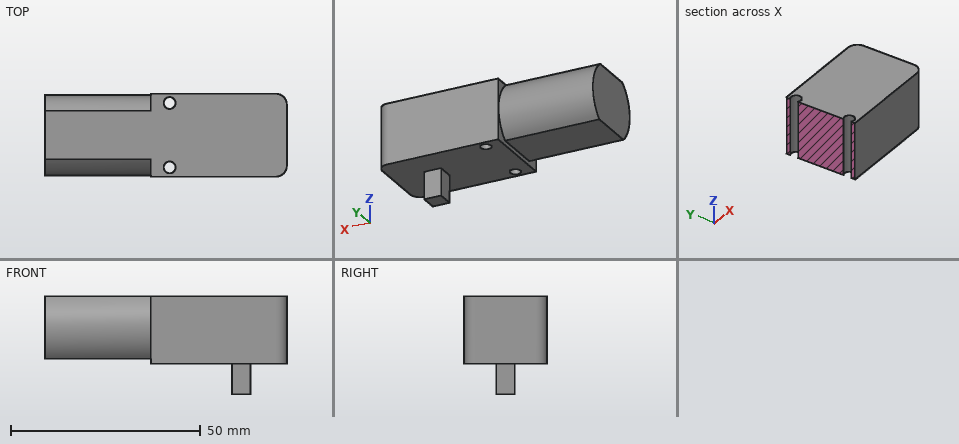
import cadquery as cq

total_length = 64.0
motor_length = 28.0

housing_length = total_length - motor_length
housing_width = 22.0
housing_height = 17.9
corner_radius = 3.0

motor_diameter = 21.3
motor_height = 16.6
motor_axis_depth = 8.5

hole_diameter = 3.1
hole_spacing = 17.0
hole_x = 32.95

shaft_side = 5.0
shaft_length = 8.05
shaft_x = 51.9


def block(x_start, length, width, height, top=0.0):
    """Box centred on Y that hangs down from the given top height."""
    return cq.Workplane("XY").box(length, width, height, centered=(False, True, False)).translate(
        (x_start, 0, top - height)
    )


def make_housing():
    """Gearbox block with rounded far corners and two through holes."""
    housing = block(motor_length, housing_length, housing_width, housing_height)
    housing = housing.edges("|Z and >X").fillet(corner_radius)
    holes = (
        cq.Workplane("XY")
        .pushPoints([(hole_x, side * hole_spacing / 2) for side in (-1, 1)])
        .circle(hole_diameter / 2)
        .extrude(-housing_height)
    )
    return housing.cut(holes)


def make_motor():
    """Round motor can trimmed to its two flats."""
    can = (
        cq.Workplane("YZ")
        .center(0, -motor_axis_depth)
        .circle(motor_diameter / 2)
        .extrude(motor_length)
    )
    return can.intersect(block(0, motor_length, motor_diameter, motor_height))


def make_shaft():
    """Square shaft pointing down from the housing underside."""
    return block(shaft_x - shaft_side / 2, shaft_side, shaft_side, shaft_length, -housing_height)


result = make_housing().union(make_motor()).union(make_shaft())